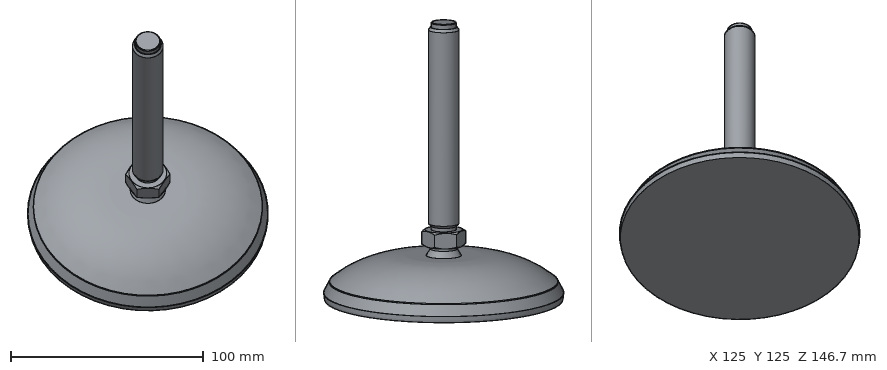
import cadquery as cq
import math

total_height = 146.7

pad_diameter = 124.1
pad_bottom_diameter = 123.8
pad_bevel_height = 1.0
pad_height = 3.4
skirt_bottom_diameter = 125.0
skirt_top_diameter = 119.0
skirt_top = 9.1

dome_diameter = 118.5
dome_edge_top = 9.7
dome_top = 23.3
dome_flat_diameter = 40.0

neck_base_diameter = 18.3
neck_diameter = 14.0
neck_cone_top = 26.7

hex_bottom = 28.5
hex_height = 8.5
hex_across_flats = 20.0
hex_face_diameter = 19.5
hex_chamfer_angle = 30.0
hex_top = hex_bottom + hex_height

rod_diameter = 16.0
rod_core_diameter = 13.0
shoulder_diameter = 14.0
shoulder_bevel_height = 1.5
rod_bottom_bevel = (rod_diameter - rod_core_diameter) / 2
rod_bottom = 38.7
rod_top = 144.0
tip_chamfer = 0.5


def revolve_profile(profile):
    """Revolve a closed radius-height outline about the Z axis."""
    return profile.close().revolve(360, (0, 0, 0), (0, 1, 0))


def make_base():
    """Pad, conical skirt and dome; the dome arc is tangent to its flat top."""
    flat_radius = dome_flat_diameter / 2
    run = dome_diameter / 2 - flat_radius
    drop = dome_top - dome_edge_top
    arc_radius = (run**2 + drop**2) / (2 * drop)
    half_angle = math.asin(run / arc_radius) / 2
    arc_middle = (
        flat_radius + arc_radius * math.sin(half_angle),
        dome_top - arc_radius * (1 - math.cos(half_angle)),
    )
    return revolve_profile(
        cq.Workplane("XZ")
        .lineTo(pad_bottom_diameter / 2, 0)
        .lineTo(pad_diameter / 2, pad_bevel_height)
        .lineTo(pad_diameter / 2, pad_height)
        .lineTo(skirt_bottom_diameter / 2, pad_height)
        .lineTo(skirt_top_diameter / 2, skirt_top)
        .lineTo(dome_diameter / 2, skirt_top)
        .lineTo(dome_diameter / 2, dome_edge_top)
        .threePointArc(arc_middle, (flat_radius, dome_top))
        .lineTo(0, dome_top)
    )


def make_spindle():
    """Flared neck, rod with bevelled ends and a narrower tip."""
    return revolve_profile(
        cq.Workplane("XZ")
        .moveTo(0, dome_top)
        .lineTo(neck_base_diameter / 2, dome_top)
        .lineTo(neck_diameter / 2, neck_cone_top)
        .lineTo(neck_diameter / 2, hex_bottom)
        .lineTo(rod_core_diameter / 2, hex_bottom)
        .lineTo(rod_core_diameter / 2, rod_bottom)
        .lineTo(rod_diameter / 2, rod_bottom + rod_bottom_bevel)
        .lineTo(rod_diameter / 2, rod_top - shoulder_bevel_height)
        .lineTo(shoulder_diameter / 2, rod_top)
        .lineTo(rod_core_diameter / 2, rod_top)
        .lineTo(rod_core_diameter / 2, total_height - tip_chamfer)
        .lineTo(rod_core_diameter / 2 - tip_chamfer, total_height)
        .lineTo(0, total_height)
    )


def make_hexagon():
    """Hexagon with corners along X, both ends bevelled by a cone."""
    across_corners = hex_across_flats / math.cos(math.pi / 6)
    corner_radius = across_corners / 2
    face_radius = hex_face_diameter / 2
    bevel_height = (corner_radius - face_radius) * math.tan(math.radians(hex_chamfer_angle))
    prism = cq.Workplane("XY", origin=(0, 0, hex_bottom)).polygon(6, across_corners).extrude(hex_height)
    envelope = revolve_profile(
        cq.Workplane("XZ")
        .moveTo(0, hex_bottom)
        .lineTo(face_radius, hex_bottom)
        .lineTo(corner_radius, hex_bottom + bevel_height)
        .lineTo(corner_radius, hex_top - bevel_height)
        .lineTo(face_radius, hex_top)
        .lineTo(0, hex_top)
    )
    return prism.intersect(envelope)


result = make_base().union(make_spindle()).union(make_hexagon())